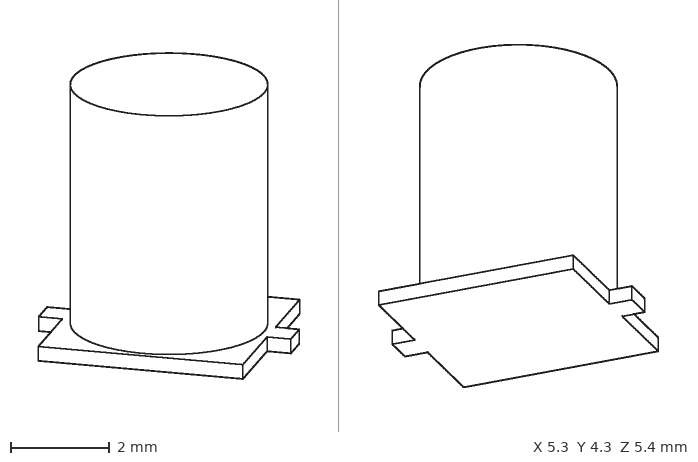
import cadquery as cq

total_height = 5.4
plate_side = 4.3
plate_thickness = 0.31
tab_span = 5.3
tab_width = 0.65
can_diameter = 4.0

plate = cq.Workplane("XY").box(plate_side, plate_side, plate_thickness, centered=(True, True, False))

tabs = cq.Workplane("XY").box(tab_span, tab_width, plate_thickness, centered=(True, True, False))

can = cq.Workplane("XY").circle(can_diameter / 2).extrude(total_height)

result = plate.union(tabs).union(can)